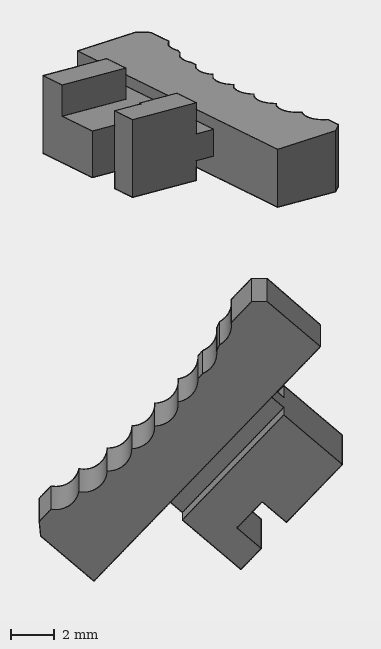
import cadquery as cq

LENGTH = 15.4
DEPTH = 8.4
HEIGHT = 3.8

BAR_FRONT_Y = 4.59
BAR_FRONT_HEIGHT = 2.83
BAR_BACK_HEIGHT = 3.02
CORNER_X = 0.48
CORNER_Y = 0.52

SCALLOP_RADIUS = 1.08
SCALLOPS = [
    ((1.86, 8.4), (3.02, 8.07)),
    ((3.33, 7.96), (4.57, 7.7)),
    ((4.91, 7.68), (6.35, 7.6)),
    ((6.35, 7.6), (7.93, 7.6)),
    ((7.93, 7.6), (9.45, 7.64)),
    ((9.45, 7.64), (11.01, 7.75)),
    ((11.01, 7.75), (12.63, 8.02)),
    ((12.63, 8.02), (14.1, 8.4)),
]

BLOCK_LEFT = 3.59
BLOCK_RIGHT = 10.49
BLOCK_DEPTH = 3.6
FLOOR_Z = 2.28
LEFT_POST_WIDTH = 1.48
RIGHT_POST_WIDTH = 1.5

NECK_BOTTOM_Z = 0.97

NOTCH_LEFT = 7.39
NOTCH_RIGHT = 9.1
NOTCH_DEPTH = 1.5


def box(x0, x1, y0, y1, z0, z1):
    """Box between opposite corners."""
    return cq.Workplane("XY").box(x1 - x0, y1 - y0, z1 - z0, centered=False).translate((x0, y0, z0))


def grip_bar():
    """Bar with chamfered back corners, a scalloped back and a top rising to the back."""
    outline = (
        cq.Workplane("XY")
        .moveTo(0, BAR_FRONT_Y)
        .lineTo(0, DEPTH - CORNER_Y)
        .lineTo(CORNER_X, DEPTH)
    )
    position = (CORNER_X, DEPTH)
    for start, end in SCALLOPS:
        if start != position:
            outline = outline.lineTo(*start)
        outline = outline.radiusArc(end, -SCALLOP_RADIUS)
        position = end
    scalloped = (
        outline.lineTo(LENGTH - CORNER_X, DEPTH)
        .lineTo(LENGTH, DEPTH - CORNER_Y)
        .lineTo(LENGTH, BAR_FRONT_Y)
        .close()
        .extrude(HEIGHT)
    )
    side_profile = (
        cq.Workplane("YZ")
        .polyline([
            (BAR_FRONT_Y, 0),
            (DEPTH, 0),
            (DEPTH, BAR_BACK_HEIGHT),
            (BAR_FRONT_Y, BAR_FRONT_HEIGHT),
        ])
        .close()
        .extrude(LENGTH)
    )
    return scalloped.intersect(side_profile)


def front_block():
    """Low block with two raised posts and a notch through its front edge."""
    base = box(BLOCK_LEFT, BLOCK_RIGHT, 0, BLOCK_DEPTH, 0, FLOOR_Z)
    left_post = box(BLOCK_LEFT, BLOCK_LEFT + LEFT_POST_WIDTH, 0, BLOCK_DEPTH, 0, HEIGHT)
    right_post = box(BLOCK_RIGHT - RIGHT_POST_WIDTH, BLOCK_RIGHT, 0, BLOCK_DEPTH, 0, HEIGHT)
    notch = box(NOTCH_LEFT, NOTCH_RIGHT, 0, NOTCH_DEPTH, 0, HEIGHT)
    return base.union(left_post).union(right_post).cut(notch)


neck = box(BLOCK_LEFT, BLOCK_RIGHT, BLOCK_DEPTH, BAR_FRONT_Y, NECK_BOTTOM_Z, FLOOR_Z)

result = grip_bar().union(neck).union(front_block())